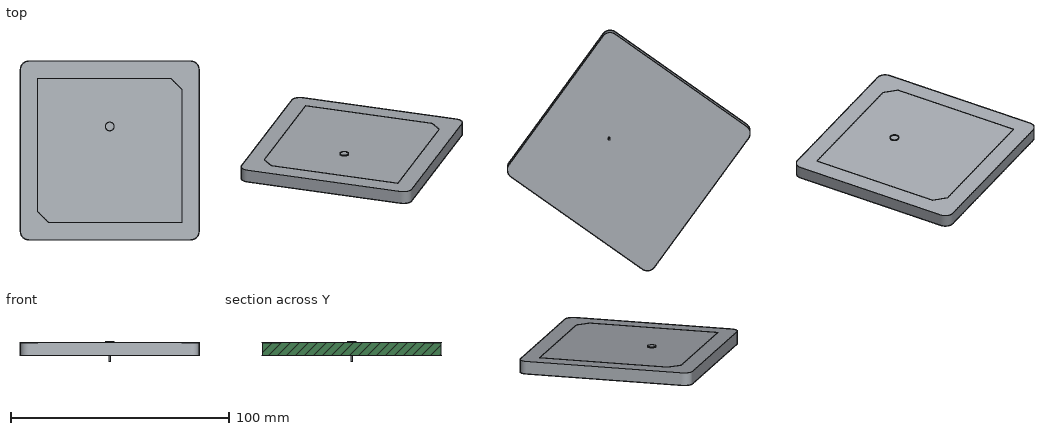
import cadquery as cq

plate_side = 82.0
plate_thickness = 6.0
corner_radius = 4.0

patch_side = 66.0
patch_thickness = 0.05
patch_corner_cut = 5.0

overall_height = 9.2
pin_y = 11.0
head_diameter = 4.0
head_height = 0.45
shank_diameter = 0.9

patch_top = plate_thickness + patch_thickness
head_top = patch_top + head_height
shank_bottom = head_top - overall_height


def make_plate():
    plate = cq.Workplane("XY").rect(plate_side, plate_side).extrude(plate_thickness)
    return plate.edges("|Z").fillet(corner_radius)


def make_patch():
    half = patch_side / 2
    cut = half - patch_corner_cut
    outline = [
        (-half, half),
        (cut, half),
        (half, cut),
        (half, -half),
        (-cut, -half),
        (-half, -cut),
    ]
    base = cq.Workplane("XY").workplane(offset=plate_thickness)
    return base.polyline(outline).close().extrude(patch_thickness)


def pin_section(diameter, bottom, top):
    """Round length of the pin between two heights."""
    base = cq.Workplane("XY").workplane(offset=bottom)
    return base.center(0, pin_y).circle(diameter / 2).extrude(top - bottom)


head = pin_section(head_diameter, patch_top, head_top)
shank = pin_section(shank_diameter, shank_bottom, patch_top)

result = make_plate().union(make_patch()).union(head).union(shank)